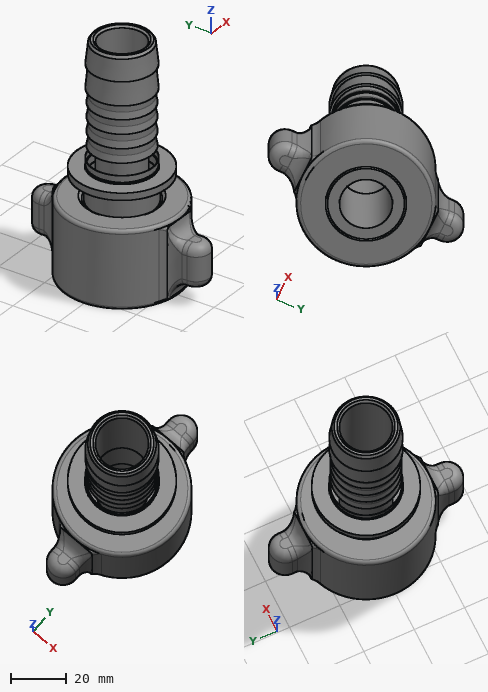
import cadquery as cq
import math


nut_diameter = 50.0
nut_height = 33.1
nut_edge_radius = 1.5
nut_bore_diameter = 29.0
nut_countersink_diameter = 31.4
countersink_angle = 90

wing_tip_y = 38.0
wing_width = 11.8
wing_height = 18.0
wing_edge_radius = 3.9
wing_inner_y = 19.6
flare_side_radius = 8.3
flare_root_corner = 0.1
flare_overlap = 0.04
flare_steps = 4

washer_diameter = 39.0
washer_bore_diameter = 26.7
washer_thickness = 3.0
washer_bottom_z = 42.4

tail_top_z = 98.0
bore_diameter = 19.0
bore_chamfer = 0.9
shoulder_diameter = 27.5
spigot_diameter = 25.7
collar_diameter = 26.5
collar_bottom_z = 46.1
collar_top_z = 49.0
thin_wall = 0.1
recess_floor_z = 31.4
root_diameter = 24.5
tip_diameter = 22.8
tip_chamfer_height = 1.2
large_crest_diameter = 26.5
large_barb_pitch = 10.0
large_barb_count = 2
small_crest_diameter = 25.7
small_barb_count = 4
small_barbs_height = 24.0

nut_radius = nut_diameter / 2
nut_middle_z = nut_height / 2
wing_half_width = wing_width / 2
wing_half_height = wing_height / 2
side_arc_x = wing_half_width + flare_side_radius
flare_root_half_height = nut_middle_z - nut_edge_radius
tangent_y = math.sqrt((nut_radius + flare_side_radius) ** 2 - side_arc_x**2)
flare_outer_y = tangent_y - flare_overlap
flare_inner_y = tangent_y * nut_radius / (nut_radius + flare_side_radius) - flare_overlap
flare_run = flare_outer_y - nut_radius
flare_rise = flare_root_half_height - wing_half_height


def flare_section(y):
    """Rounded rectangle across the wing flare at distance y from the axis."""
    inset = flare_outer_y - y
    half_width = side_arc_x - math.sqrt(flare_side_radius**2 - inset**2)
    rise_angle = math.asin(min(inset / flare_run, 1.0))
    half_height = wing_half_height + flare_rise * (1 - math.cos(rise_angle))
    fade = inset / (flare_outer_y - flare_inner_y)
    corner = wing_edge_radius + (flare_root_corner - wing_edge_radius) * fade
    plane = cq.Plane(origin=(0, y, nut_middle_z), xDir=(-1, 0, 0), normal=(0, 1, 0))
    rectangle = cq.Workplane(plane).rect(2 * half_width, 2 * half_height).val()
    return rectangle.fillet2D(corner, rectangle.Vertices())


def make_flare():
    """Concave transition from a wing into the nut cylinder, and on at full height into the nut wall."""
    rise_angles = [math.pi / 2 * i / flare_steps for i in range(flare_steps + 1)]
    rising = [flare_section(flare_outer_y - flare_run * math.sin(angle)) for angle in rise_angles]
    level_step = (nut_radius - flare_inner_y) / flare_steps
    level = [flare_section(nut_radius - level_step * i) for i in range(flare_steps + 1)]
    return cq.Workplane(cq.Solid.makeLoft(rising)).union(cq.Workplane(cq.Solid.makeLoft(level)))


def make_wing():
    """Wing on the +Y side: a rounded tab and its flare."""
    tab = (
        cq.Workplane("XY", origin=(0, (wing_inner_y + wing_tip_y) / 2, nut_middle_z - wing_half_height))
        .slot2D(wing_tip_y - wing_inner_y, wing_width, 90)
        .extrude(wing_height)
        .faces("|Z")
        .edges()
        .fillet(wing_edge_radius)
    )
    return tab.union(make_flare())


def make_nut():
    """Round nut with two opposite wings and a countersunk bore."""
    nut = cq.Workplane("XY").circle(nut_radius).extrude(nut_height).edges().fillet(nut_edge_radius)
    wing = make_wing()
    for angle in (0, 180):
        nut = nut.union(wing.rotate((0, 0, 0), (0, 0, 1), angle))
    return nut.faces(">Z").workplane().cskHole(nut_bore_diameter, nut_countersink_diameter, countersink_angle)


def make_washer():
    """Flat washer resting on the shoulder of the tail."""
    return (
        cq.Workplane("XY", origin=(0, 0, washer_bottom_z))
        .circle(washer_diameter / 2)
        .circle(washer_bore_diameter / 2)
        .extrude(washer_thickness)
    )


def tail_outline():
    """Half profile of the tail outside its bore, as (radius, z) points, from the bottom end to the tip."""
    shoulder_radius = shoulder_diameter / 2
    spigot_radius = spigot_diameter / 2
    collar_radius = collar_diameter / 2
    neck_radius = bore_diameter / 2 + thin_wall
    large_barbs_bottom_z = tail_top_z - large_barb_count * large_barb_pitch
    small_barbs_bottom_z = large_barbs_bottom_z - small_barbs_height
    small_pitch = small_barbs_height / small_barb_count

    points = [
        (shoulder_radius, 0),
        (shoulder_radius, washer_bottom_z),
        (spigot_radius, washer_bottom_z),
        (spigot_radius, collar_bottom_z),
        (collar_radius, collar_bottom_z),
        (collar_radius, collar_top_z),
    ]

    points += [
        (collar_radius - thin_wall, collar_top_z),
        (collar_radius - thin_wall, collar_bottom_z + thin_wall),
        (spigot_radius - thin_wall, collar_bottom_z + thin_wall),
        (spigot_radius - thin_wall, washer_bottom_z - thin_wall),
        (shoulder_radius - thin_wall, washer_bottom_z - thin_wall),
        (shoulder_radius - thin_wall, recess_floor_z),
        (neck_radius, recess_floor_z),
        (neck_radius, small_barbs_bottom_z),
    ]

    for i in range(small_barb_count):
        crest_z = small_barbs_bottom_z + i * small_pitch
        points += [
            (small_crest_diameter / 2, crest_z),
            (root_diameter / 2, crest_z + small_pitch / 2),
            (root_diameter / 2, crest_z + small_pitch),
        ]

    for i in range(large_barb_count):
        crest_z = large_barbs_bottom_z + i * large_barb_pitch
        is_top = i == large_barb_count - 1
        taper_top_z = crest_z + large_barb_pitch - (tip_chamfer_height if is_top else 0)
        points += [(large_crest_diameter / 2, crest_z), (root_diameter / 2, taper_top_z)]
    return points


def make_tail():
    """Barbed hose tail with a through bore chamfered at the tip."""
    bore_radius = bore_diameter / 2
    points = tail_outline() + [
        (tip_diameter / 2, tail_top_z),
        (bore_radius + bore_chamfer, tail_top_z),
        (bore_radius, tail_top_z - bore_chamfer),
        (bore_radius, 0),
    ]
    return cq.Workplane("XZ").polyline(points).close().revolve(360, (0, 0, 0), (0, 1, 0))


nut = make_nut()
washer = make_washer()
tail = make_tail()

result = cq.Compound.makeCompound([nut.val(), washer.val(), tail.val()])